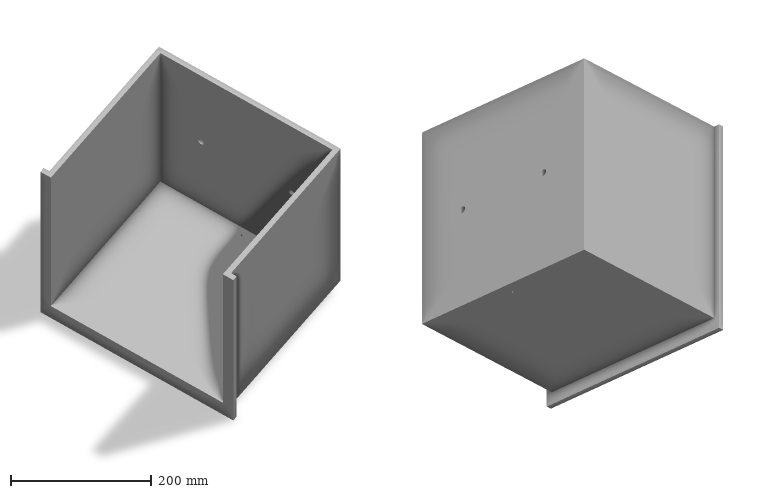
import cadquery as cq

width = 336.0
depth = 280.0
height = 333.0

wall = 8.5
side_lip = 9.7
bottom_lip = 19.8

back_hole_diameter = 10.0
back_hole_spacing = 158.0
back_hole_height = 176.5
floor_hole_diameter = 2.5
floor_hole_from_back = 20.0

box_width = width - 2 * side_lip
inner_width = box_width - 2 * wall
floor_top = bottom_lip + wall


def block(x_size, y_start, y_end, z_start, z_end):
    """Block centred on X between the given Y and Z limits."""
    return (
        cq.Workplane("XY")
        .box(x_size, y_end - y_start, z_end - z_start, centered=(True, False, False))
        .translate((0, y_start, z_start))
    )


box = block(box_width, 0, depth, bottom_lip, height)
flange = block(width, 0, wall, 0, height)
body = box.union(flange)

body = body.cut(block(inner_width, 0, depth - wall, floor_top, height))

for side in (-1, 1):
    hole_x = side * back_hole_spacing / 2
    back_hole = (
        cq.Workplane("XZ", origin=(hole_x, depth, back_hole_height))
        .circle(back_hole_diameter / 2)
        .extrude(wall)
    )
    body = body.cut(back_hole)

floor_hole = (
    cq.Workplane("XY", origin=(0, depth - floor_hole_from_back, bottom_lip))
    .circle(floor_hole_diameter / 2)
    .extrude(wall)
)
result = body.cut(floor_hole)